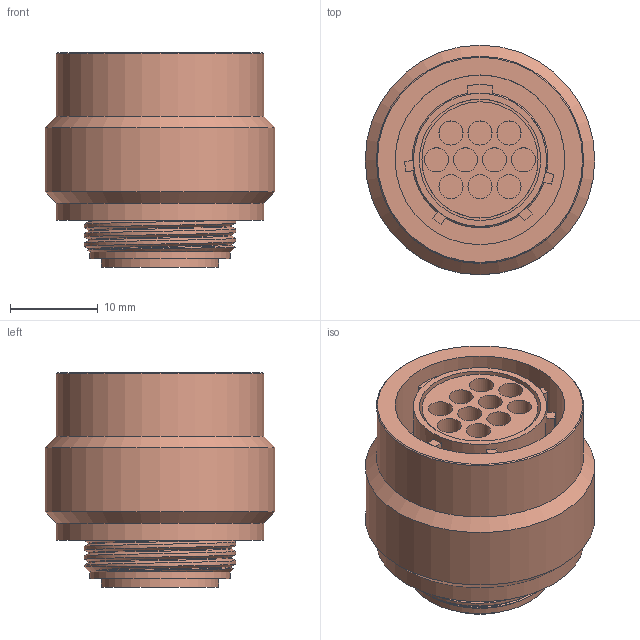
import cadquery as cq
import math

STEP_Z = 1.0
THREAD_BOTTOM_Z = 1.75
SHELL_BOTTOM_Z = 5.35
BAND_BOTTOM_Z = 7.3
BAND_TOP_Z = 17.15
TOTAL_HEIGHT = 24.41

REAR_BOSS_RADIUS = 6.65
RELIEF_RADIUS = 7.97
THREAD_RADIUS = 8.62
SHELL_RADIUS = 11.78
BAND_RADIUS = 13.05
RIM_CHAMFER = 0.12

THREAD_PITCH = 25.4 / 24
THREAD_DEPTH = 0.46
THREAD_ROOT_WIDTH = THREAD_PITCH / 8
THREAD_HALF_ANGLE = 30
THREAD_START_Z = 0.47
GROOVE_OVERRUN = 0.1

SOCKET_RADIUS = 9.65
SOCKET_DEPTH = 8.0
SOCKET_FLOOR_Z = TOTAL_HEIGHT - SOCKET_DEPTH
BARREL_RADIUS = 7.57
BARREL_BASE_FLARE = 0.15
BARREL_BORE_RADIUS = 6.9
BARREL_RECESS = 0.15
BARREL_TOP_Z = TOTAL_HEIGHT - BARREL_RECESS

INSERT_RADIUS = 6.6
INSERT_RECESS = 0.25
INSERT_TOP_Z = BARREL_TOP_Z - INSERT_RECESS
HOLE_RADIUS = 1.37
HOLE_DEPTH = 6.0
HOLE_SPACING = 3.3
ROW_SPACING = 3.05
HOLES_PER_ROW = (3, 4, 3)

KEY_OUTER_RADIUS = 8.55
MASTER_KEY_WIDTH = 2.9
MINOR_KEY_WIDTH = 1.15
MASTER_KEY_ANGLE = 90
MINOR_KEY_OFFSETS = (95, 145, 220, 255)
KEY_RECESS = 0.78
KEY_TOP_Z = BARREL_TOP_Z - KEY_RECESS


def cylinder(radius, bottom_z, top_z):
    return cq.Workplane("XY").workplane(offset=bottom_z).circle(radius).extrude(top_z - bottom_z)


def make_shell():
    """Banded outer shell with the rear steps, without the thread."""
    band_chamfer = BAND_RADIUS - SHELL_RADIUS
    band = cylinder(BAND_RADIUS, BAND_BOTTOM_Z, BAND_TOP_Z).edges().chamfer(band_chamfer)
    shell = cylinder(SHELL_RADIUS, SHELL_BOTTOM_Z, TOTAL_HEIGHT).faces(">Z").chamfer(RIM_CHAMFER)
    relief = cylinder(RELIEF_RADIUS, STEP_Z, SHELL_BOTTOM_Z)
    rear_boss = cylinder(REAR_BOSS_RADIUS, 0, SHELL_BOTTOM_Z)
    return shell.union(band).union(relief).union(rear_boss)


def make_thread():
    """Chamfered cylinder with a right-hand flat-rooted groove running off both ends."""
    thread = cylinder(THREAD_RADIUS, THREAD_BOTTOM_Z, SHELL_BOTTOM_Z)
    thread = thread.faces("<Z").chamfer(THREAD_RADIUS - RELIEF_RADIUS)
    root_radius = THREAD_RADIUS - THREAD_DEPTH
    cutter_radius = THREAD_RADIUS + GROOVE_OVERRUN
    root_half_width = THREAD_ROOT_WIDTH / 2
    flank_width = (cutter_radius - root_radius) * math.tan(math.radians(THREAD_HALF_ANGLE))
    mouth_half_width = root_half_width + flank_width
    groove_profile = [
        (root_radius, -root_half_width),
        (root_radius, root_half_width),
        (cutter_radius, mouth_half_width),
        (cutter_radius, -mouth_half_width),
    ]
    helix = cq.Wire.makeHelix(THREAD_PITCH, THREAD_PITCH, root_radius)
    groove_turn = (
        cq.Workplane("XZ")
        .polyline(groove_profile)
        .close()
        .sweep(cq.Workplane(helix), isFrenet=True)
    )
    turns = math.ceil((SHELL_BOTTOM_Z + mouth_half_width - THREAD_START_Z) / THREAD_PITCH)
    for turn in range(turns):
        thread = thread.cut(groove_turn.translate((0, 0, THREAD_START_Z + turn * THREAD_PITCH)))
    return thread


def make_barrel():
    """Tube that stands on the socket floor, flared at its foot."""
    barrel = cylinder(BARREL_RADIUS, SOCKET_FLOOR_Z, BARREL_TOP_Z)
    flare = cq.Workplane(
        cq.Solid.makeCone(
            BARREL_RADIUS + BARREL_BASE_FLARE,
            BARREL_RADIUS,
            BARREL_BASE_FLARE,
            pnt=cq.Vector(0, 0, SOCKET_FLOOR_Z),
        )
    )
    return barrel.union(flare).cut(cylinder(BARREL_BORE_RADIUS, SOCKET_FLOOR_Z, BARREL_TOP_Z))


def make_key(width, angle):
    """Key rib with a rounded outer face, trimmed clear of the barrel bore."""
    rib = (
        cq.Workplane("XY")
        .workplane(offset=SOCKET_FLOOR_Z)
        .rect(2 * KEY_OUTER_RADIUS, width)
        .extrude(KEY_TOP_Z - SOCKET_FLOOR_Z)
        .translate((KEY_OUTER_RADIUS, 0, 0))
        .rotate((0, 0, 0), (0, 0, 1), angle)
    )
    root_radius = (BARREL_BORE_RADIUS + BARREL_RADIUS) / 2
    ring = cylinder(KEY_OUTER_RADIUS, SOCKET_FLOOR_Z, KEY_TOP_Z)
    ring = ring.cut(cylinder(root_radius, SOCKET_FLOOR_Z, KEY_TOP_Z))
    return rib.intersect(ring)


def make_insert():
    """Contact insert with rows of blind contact holes."""
    centres = []
    for row, count in enumerate(HOLES_PER_ROW):
        y = (row - (len(HOLES_PER_ROW) - 1) / 2) * ROW_SPACING
        for column in range(count):
            centres.append(((column - (count - 1) / 2) * HOLE_SPACING, y))
    holes = (
        cq.Workplane("XY")
        .workplane(offset=INSERT_TOP_Z - HOLE_DEPTH)
        .pushPoints(centres)
        .circle(HOLE_RADIUS)
        .extrude(HOLE_DEPTH)
    )
    return cylinder(INSERT_RADIUS, SOCKET_FLOOR_Z, INSERT_TOP_Z).cut(holes)


body = make_shell().union(make_thread())
body = body.cut(cylinder(SOCKET_RADIUS, SOCKET_FLOOR_Z, TOTAL_HEIGHT))
body = body.union(make_barrel()).union(make_insert())
body = body.union(make_key(MASTER_KEY_WIDTH, MASTER_KEY_ANGLE))
for offset in MINOR_KEY_OFFSETS:
    body = body.union(make_key(MINOR_KEY_WIDTH, MASTER_KEY_ANGLE + offset))

result = body